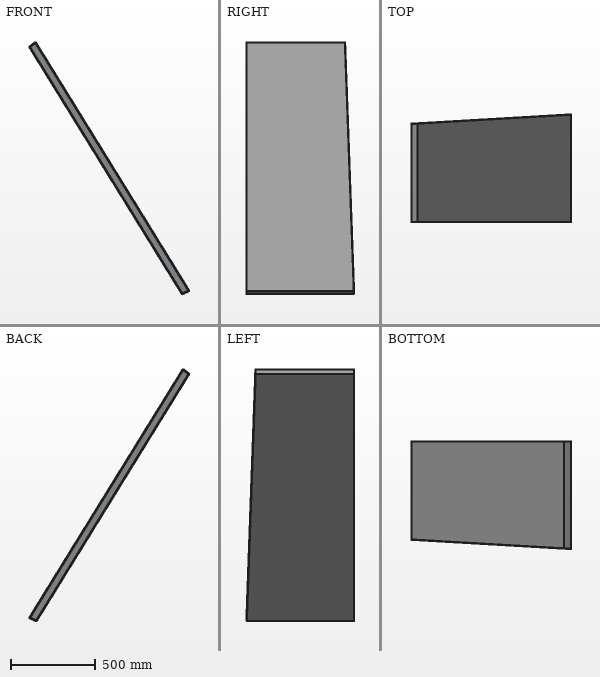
import cadquery as cq
import math

length_x = 949.33
width_y = 640.29
height_z = 1497.75

thickness = 45.0
lean_angle = 58.29
head_run = 36.0

head_width = 585.0

lean = math.radians(lean_angle)

head_drop = thickness / math.cos(lean) - head_run * math.tan(lean)
under_head_z = height_z - head_drop
under_foot_x = under_head_z / math.tan(lean)
upper_foot_z = height_z - (length_x - head_run) * math.tan(lean)


def leaning_slab():
    """Full-width slab, with the head and foot ends cut at their own angles."""
    section = [
        (0, under_head_z),
        (head_run, height_z),
        (length_x, upper_foot_z),
        (under_foot_x, 0),
    ]
    return cq.Workplane("XZ").polyline(section).close().extrude(-width_y)


def tapered_plan():
    """Upright prism whose vertical +Y side narrows the panel toward the head."""
    outline = [
        (0, 0),
        (length_x, 0),
        (length_x, width_y),
        (0, head_width),
    ]
    return cq.Workplane("XY").polyline(outline).close().extrude(height_z)


result = leaning_slab().intersect(tapered_plan())